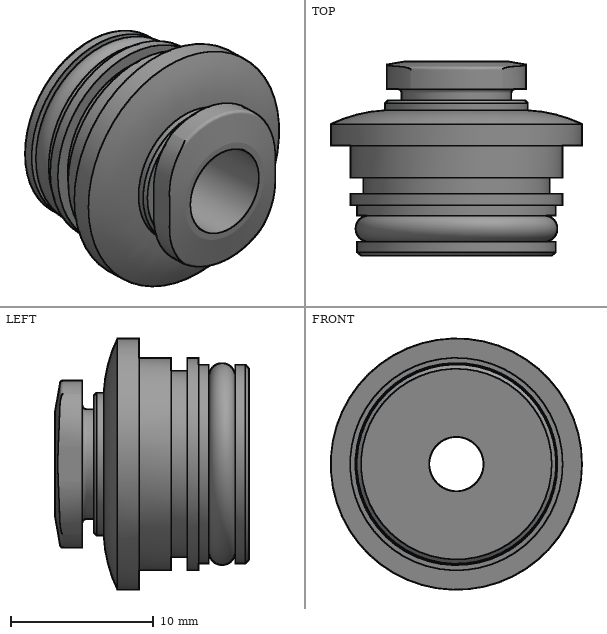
import cadquery as cq
import math

TOTAL_LENGTH = 13.68

plug_radius = 7.01
plug_chamfer_width = 0.3
plug_chamfer_depth = 0.27
ring_front = 1.0
ring_back = 2.83
ring_outer_radius = 7.12
plug_end = 3.55

body_radius = 14.95 / 2
groove_radius = 13.15 / 2
groove_front = 4.37
groove_back = 5.49

flange_radius = 17.7 / 2
flange_front = 7.75
flange_back = 9.27
dome_top = 10.25
dome_mid_drop = 0.28

collar_radius = 10.07 / 2
collar_end = 10.95
collar_chamfer = 0.21
neck_radius = 7.75 / 2
neck_fillet = 0.28

head_front = 11.74
head_radius = 5.9
head_lobe_radius = 4.9
head_lobe_offset = 1.24
head_face_radius = 3.66
head_cone_angle = 10
head_rim_radius = 0.23

bore_radius = 3.8 / 2
cavity_radius = 6.35 / 2
cavity_front = 1.72


def disc(radius, start, end):
    """Solid disc along Y between two stations."""
    plane = cq.Workplane("XZ", origin=(0, start, 0))
    return plane.circle(radius).extrude(start - end)


def turned_body():
    """Plug, body, flange, collar and neck as one revolved profile of (radius, station)."""
    ring_radius = (ring_back - ring_front) / 2
    ring_middle = (ring_front + ring_back) / 2
    ring_seat = ring_outer_radius - ring_radius
    dome_mid = ((flange_radius + collar_radius) / 2, dome_top - dome_mid_drop)
    profile = (
        cq.Workplane("XY")
        .lineTo(plug_radius - plug_chamfer_width, 0)
        .lineTo(plug_radius, plug_chamfer_depth)
        .lineTo(plug_radius, ring_front)
        .lineTo(ring_seat, ring_front)
        .threePointArc((ring_outer_radius, ring_middle), (ring_seat, ring_back))
        .lineTo(plug_radius, ring_back)
        .lineTo(plug_radius, plug_end)
        .lineTo(body_radius, plug_end)
        .lineTo(body_radius, groove_front)
        .lineTo(groove_radius, groove_front)
        .lineTo(groove_radius, groove_back)
        .lineTo(body_radius, groove_back)
        .lineTo(body_radius, flange_front)
        .lineTo(flange_radius, flange_front)
        .lineTo(flange_radius, flange_back)
        .threePointArc(dome_mid, (collar_radius, dome_top))
        .lineTo(collar_radius, collar_end - collar_chamfer)
        .lineTo(collar_radius - collar_chamfer, collar_end)
        .lineTo(neck_radius, collar_end)
        .lineTo(neck_radius, head_front - neck_fillet)
        .radiusArc((neck_radius + neck_fillet, head_front), neck_fillet)
        .lineTo(0, head_front)
        .close()
    )
    return profile.revolve(360, (0, 0, 0), (0, 1, 0))


def head():
    """Oblong head with a coned back and a rounded rim."""
    cone_angle = math.radians(head_cone_angle)
    rim_inner_radius = head_radius - head_rim_radius * (1 - math.sin(cone_angle))
    cone_bottom = TOTAL_LENGTH - (rim_inner_radius - head_face_radius) * math.tan(cone_angle)
    rim_bottom = cone_bottom - head_rim_radius * math.cos(cone_angle)
    envelope = (
        cq.Workplane("XY")
        .moveTo(0, head_front)
        .lineTo(head_radius, head_front)
        .lineTo(head_radius, rim_bottom)
        .tangentArcPoint((rim_inner_radius, cone_bottom), relative=False)
        .lineTo(head_face_radius, TOTAL_LENGTH)
        .lineTo(0, TOTAL_LENGTH)
        .close()
        .revolve(360, (0, 0, 0), (0, 1, 0))
    )
    lobe_spacing = 2 * head_lobe_offset
    oblong = (
        cq.Workplane("XZ", origin=(0, head_front, 0))
        .slot2D(lobe_spacing + 2 * head_lobe_radius, 2 * head_lobe_radius, 90)
        .extrude(head_front - TOTAL_LENGTH)
    )
    return envelope.intersect(oblong)


bore = disc(bore_radius, 0, cavity_front)
cavity = disc(cavity_radius, cavity_front, TOTAL_LENGTH)

result = turned_body().union(head()).cut(bore).cut(cavity)